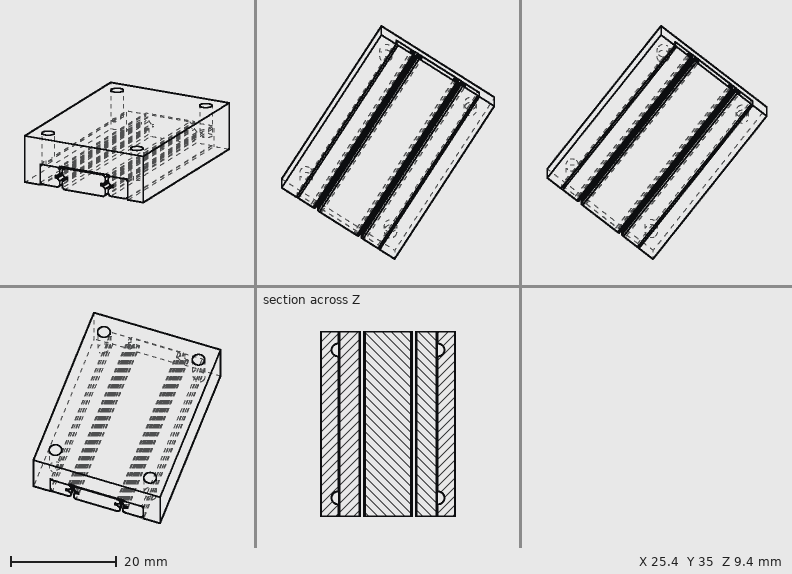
import cadquery as cq

length = 35.0
housing_width = 25.4
housing_height = 9.28
assembly_height = 9.4

channel_half_width = 9.35
seat_depth = 5.15
relief_depth = 4.9
relief_half_width = 5.2

outer_rail_height = 4.0
outer_rail_inner_x = 5.2
centre_rail_half_width = 4.6
rail_chamfer = 0.4

groove_half_mouth = 0.7
groove_half_slot = 0.2
groove_depth = 0.95
groove_z = -(seat_depth + outer_rail_height / 2)

hole_diameter = 2.38
hole_spacing_x = 18.97
hole_spacing_y = 28.0
hole_depth = 5.95


def box_between(x_min, x_max, z_min, z_max):
    """Full-length box, centred along Y, between the given X and Z limits."""
    return cq.Workplane("XY").box(x_max - x_min, length, z_max - z_min).translate(
        ((x_min + x_max) / 2, 0, (z_min + z_max) / 2)
    )


def make_groove(face_x, inward):
    """Cutter for a groove in the face at face_x; inward is +1 or -1, into the rail."""
    v_bottom_x = face_x + inward * (groove_half_mouth - groove_half_slot)
    slot_end_x = face_x + inward * groove_depth
    points = [
        (face_x, groove_z - groove_half_mouth),
        (v_bottom_x, groove_z - groove_half_slot),
        (slot_end_x, groove_z - groove_half_slot),
        (slot_end_x, groove_z + groove_half_slot),
        (v_bottom_x, groove_z + groove_half_slot),
        (face_x, groove_z + groove_half_mouth),
    ]
    return cq.Workplane("XZ").polyline(points).close().extrude(length / 2, both=True)


def make_housing():
    """Block with a stepped channel along Y and four mounting holes."""
    block = box_between(-housing_width / 2, housing_width / 2, -housing_height, 0)
    channel = box_between(-channel_half_width, channel_half_width, -housing_height, -seat_depth)
    relief = box_between(-relief_half_width, relief_half_width, -housing_height, -relief_depth)
    holes = (
        cq.Workplane("XY")
        .rarray(hole_spacing_x, hole_spacing_y, 2, 2)
        .circle(hole_diameter / 2)
        .extrude(-hole_depth)
    )
    return block.cut(channel).cut(relief).cut(holes)


def make_outer_rail(side):
    """Rail against one channel wall (side is +1 or -1), grooved on its inner face."""
    inner_x = side * outer_rail_inner_x
    outer_x = side * channel_half_width
    rail = box_between(
        min(inner_x, outer_x),
        max(inner_x, outer_x),
        -seat_depth - outer_rail_height,
        -seat_depth,
    )
    return rail.edges("|Y").chamfer(rail_chamfer).cut(make_groove(inner_x, side))


def make_centre_rail():
    """Free rail between the outer rails, grooved on both sides."""
    rail = box_between(-centre_rail_half_width, centre_rail_half_width, -assembly_height, -seat_depth)
    rail = rail.edges("|Y").chamfer(rail_chamfer)
    for side in (-1, 1):
        rail = rail.cut(make_groove(side * centre_rail_half_width, -side))
    return rail


housing = make_housing()
centre_rail = make_centre_rail()
outer_rails = [make_outer_rail(side) for side in (-1, 1)]

result = cq.Compound.makeCompound(
    [housing.val(), centre_rail.val(), *[rail.val() for rail in outer_rails]]
)